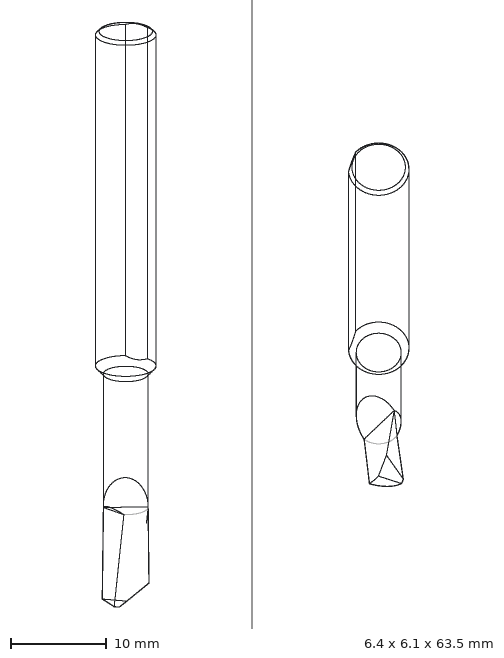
import cadquery as cq
import math

total_length = 63.5
shank_radius = 3.2
shank_bottom = 26.3
flat_distance = 2.9
top_chamfer_width = 0.4
top_chamfer_height = 0.4

neck_radius = 2.35
collar_bottom = 25.4

blade_root = 10.6
tip_radius = 2.65
root_angles = (206.0, 23.0, 287.5)
tip_angles = (180.0, 0.0, 264.5)
bevel_start_x = -0.05
bevel_height = 2.55
end_relief_angle = 5.0
end_dish_angle = 3.0

tool_size = 4 * shank_radius


def polar(radius, angle):
    radians = math.radians(angle)
    return radius * math.cos(radians), radius * math.sin(radians)


def make_shank_and_neck():
    """Turn the stepped bar, then mill the flat along the shank."""
    bar = (
        cq.Workplane("XZ")
        .moveTo(0, blade_root)
        .lineTo(neck_radius, blade_root)
        .lineTo(neck_radius, collar_bottom)
        .lineTo(shank_radius, shank_bottom)
        .lineTo(shank_radius, total_length - top_chamfer_height)
        .lineTo(shank_radius - top_chamfer_width, total_length)
        .lineTo(0, total_length)
        .close()
        .revolve(360, (0, 0, 0), (0, 1, 0))
    )
    flat = cq.Workplane("XY").box(
        tool_size, tool_size, total_length, centered=(True, False, False)
    ).translate((0, flat_distance, 0))
    return bar.cut(flat)


def make_runout(start_angle, end_angle):
    """Wedge rising at 45 degrees outward from a chord of the neck end, to its left."""
    start_x, start_y = polar(neck_radius, start_angle)
    end_x, end_y = polar(neck_radius, end_angle)
    outward = cq.Vector(start_y - end_y, end_x - start_x, 0).normalized()
    up = cq.Vector(0, 0, 1)
    chord_plane = cq.Plane((start_x, start_y, blade_root), outward, outward.cross(up))
    return (
        cq.Workplane(chord_plane)
        .polyline([(0, 0), (tool_size, 0), (tool_size, tool_size)])
        .close()
        .extrude(tool_size, both=True)
    )


def blade_section(workplane, radius, angles):
    """Chip face, round back and clearance face, all ending on one circle."""
    cutting_angle, back_angle, heel_angle = angles
    arc_middle_angle = (back_angle + heel_angle - 360) / 2
    return (
        workplane.moveTo(*polar(radius, cutting_angle))
        .lineTo(*polar(radius, back_angle))
        .threePointArc(polar(radius, arc_middle_angle), polar(radius, heel_angle))
        .close()
    )


def make_blade():
    """Loft the blade, then cut the corner bevel and the relieved end face."""
    tip = blade_section(cq.Workplane("XY"), tip_radius, tip_angles)
    root = tip.workplane(offset=blade_root)
    blade = blade_section(root, neck_radius, root_angles).loft(ruled=True)
    bevel = (
        cq.Workplane("XZ")
        .polyline([(bevel_start_x, 0), (tip_radius, 0), (tip_radius, bevel_height)])
        .close()
        .extrude(tool_size, both=True)
    )
    end_relief = (
        cq.Workplane("XY")
        .box(tool_size, tool_size, tool_size, centered=(True, True, False))
        .translate((0, 0, -tool_size))
        .rotate((0, 0, 0), (1, 0, 0), -end_relief_angle)
        .rotate((-tip_radius, 0, 0), (-tip_radius, 1, 0), -end_dish_angle)
    )
    return blade.cut(bevel).cut(end_relief)


cutting_root, back_root, heel_root = root_angles
body = make_shank_and_neck()
body = body.cut(make_runout(cutting_root, back_root))
body = body.cut(make_runout(heel_root, cutting_root))
result = body.union(make_blade())